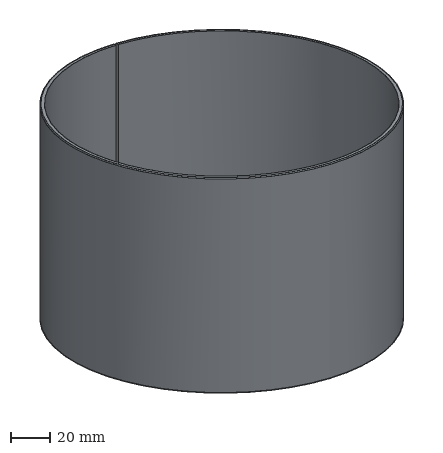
import cadquery as cq

outer_diameter = 185.0
wall = 2.4
height = 120.0
rim_chamfer = 0.5
slit_width = 1.5

outer_radius = outer_diameter / 2
inner_radius = outer_radius - wall

cylinder = (
    cq.Workplane("XY")
    .circle(outer_radius)
    .extrude(height)
    .faces("<Z or >Z")
    .edges()
    .chamfer(rim_chamfer)
)

bore = cq.Workplane("XY").circle(inner_radius).extrude(height)

slit_depth = 2 * wall
slit = (
    cq.Workplane("XY")
    .box(slit_depth, slit_width, height, centered=(True, False, False))
    .translate((-(outer_radius - wall / 2), 0, 0))
)

result = cylinder.cut(bore).cut(slit)